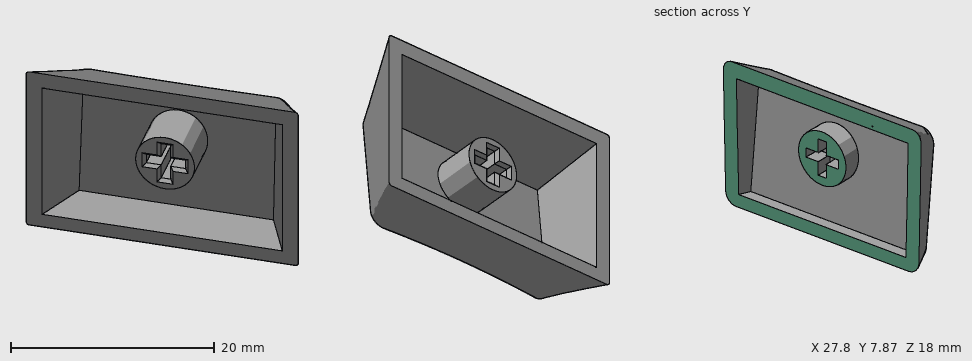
import cadquery as cq
import math

width = 27.8
height = 18.0
half_height = height / 2

rim_radius = 0.33
crown_width = 21.97
crown_radius = 1.67
middle_radius = 1.17
crown_top_y = 7.98
crown_top_z = 5.05
crown_bottom_y = 6.45
dish_depth = 0.53
edge_radius = 0.2

cavity_width = 24.53
floor_bottom_width = 19.85
floor_top_width = 19.7
cavity_bottom_z = -7.5
cavity_top_z = 7.31
floor_top_z = 4.1
floor_top_y = 6.29
floor_bottom_y = 5.15

stem_diameter = 6.0
stem_face_y = 1.03
cross_span = 4.67
cross_arm = 1.65
socket_chamfer = 0.33


crown_bottom = (crown_bottom_y, -half_height)
crown_top = (crown_top_y, crown_top_z)
floor_bottom = (floor_bottom_y, cavity_bottom_z)
floor_top = (floor_top_y, floor_top_z)


def midpoint(first, second):
    return ((first[0] + second[0]) / 2, (first[1] + second[1]) / 2)


def face_plane(bottom, top):
    """Plane through two (y, z) ends; local x is -X, local y runs up the slope, normal faces +Y."""
    y, z = midpoint(bottom, top)
    normal = (0, top[1] - bottom[1], bottom[0] - top[0])
    return cq.Plane(origin=(0, y, z), xDir=(-1, 0, 0), normal=normal)


def section(bottom_width, top_width, bottom, top, radius=0):
    """Wire of a symmetric trapezoid spanning two (y, z) ends, with optional rounded corners."""
    half_span = math.dist(bottom, top) / 2
    corners = [
        (-bottom_width / 2, -half_span),
        (bottom_width / 2, -half_span),
        (top_width / 2, half_span),
        (-top_width / 2, half_span),
    ]
    outline = cq.Sketch().polygon(corners + corners[:1])
    if radius:
        outline = outline.vertices().fillet(radius)
    return outline.reset().faces().val().outerWire().moved(face_plane(bottom, top).location)


def make_shell():
    rim_bottom = (0, -half_height)
    rim_top = (0, half_height)
    middle_bottom = midpoint(rim_bottom, crown_bottom)
    middle_top = midpoint(rim_top, crown_top)
    middle_width = (width + crown_width) / 2
    rim = section(width, width, rim_bottom, rim_top, rim_radius)
    middle = section(middle_width, middle_width, middle_bottom, middle_top, middle_radius)
    crown = section(crown_width, crown_width, crown_bottom, crown_top, crown_radius)
    return cq.Workplane(cq.Solid.makeLoft([rim, middle, crown]))


def make_dish():
    """Cylinder running along the crown slope, hollowing it across its width."""
    dish_radius = (crown_width**2 / 4 + dish_depth**2) / (2 * dish_depth)
    crown_plane = face_plane(crown_bottom, crown_top)
    slope = crown_plane.yDir
    axis_point = crown_plane.toWorldCoords((0, 0, dish_radius - dish_depth))
    axis_plane = cq.Plane(origin=axis_point, xDir=(1, 0, 0), normal=slope)
    return cq.Workplane(axis_plane).circle(dish_radius).extrude(height, both=True)


def make_cavity():
    opening = section(cavity_width, cavity_width, (0, cavity_bottom_z), (0, cavity_top_z))
    floor = section(floor_bottom_width, floor_top_width, floor_bottom, floor_top)
    return cq.Workplane(cq.Solid.makeLoft([opening, floor], True))


def stem_workplane():
    """Workplane on the front face of the stem, facing the open rim."""
    return cq.Workplane("XZ", origin=(0, stem_face_y, 0))


def cross_points(inset):
    """Corners of the cross, with its walls moved inwards by the inset."""
    tip = cross_span / 2 - inset
    side = cross_arm / 2 - inset
    arm = [(tip, -side), (tip, side), (side, side)]
    points = []
    for _ in range(4):
        points += arm
        arm = [(-z, x) for x, z in arm]
    return points


def make_socket(length):
    """Straight cross-shaped hole with a chamfered mouth."""
    hole_points = cross_points(socket_chamfer)
    hole = stem_workplane().polyline(hole_points).close().extrude(-length)
    mouth = stem_workplane().polyline(cross_points(0)).close()
    mouth = mouth.workplane(offset=-socket_chamfer).polyline(hole_points).close()
    return hole.union(mouth.loft(ruled=True))


def make_stem():
    """Round post whose socket runs its full length; the cavity floor closes the far end."""
    length = floor_top_y - stem_face_y
    post = stem_workplane().circle(stem_diameter / 2).extrude(-length)
    return post.cut(make_socket(length))


shell = make_shell().cut(make_dish())
shell = shell.faces(">Y").edges().fillet(edge_radius).cut(make_cavity())
result = shell.union(make_stem())